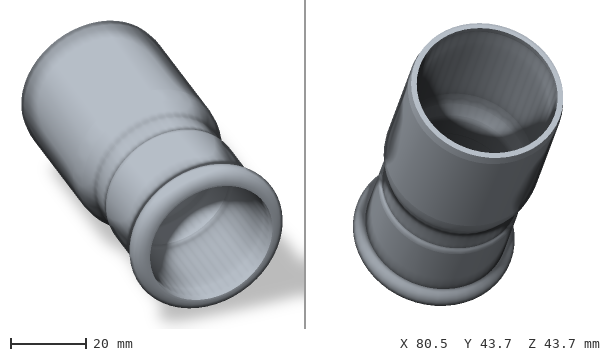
import cadquery as cq
import math

length = 80.5
wall = 1.5

spigot_radius = 42.0 / 2
tip_length = 2.6
tip_drop = 0.4
spigot_end = 36.1

neck_radius = 37.0 / 2
shoulder_angle = math.radians(20)
shoulder_convex_radius = 13.5
shoulder_concave_radius = 4.4

socket_radius = 38.4 / 2
socket_bore_radius = 35.4 / 2
socket_start = 54.6
step_round_radius = 3.4

bead_outer_radius = 43.7 / 2
bead_section_radius = 3.6
bead_center_x = length - bead_section_radius
bead_center_radius = bead_outer_radius - bead_section_radius


def point_on_arc(center, radius, angle):
    """Point at an angle measured from the radial direction toward +X."""
    return (center[0] + radius * math.sin(angle), center[1] + radius * math.cos(angle))


def solid_of_revolution(spigot, neck, socket, end_x, inset):
    """Turn a fitting-shaped profile, its rounds adjusted for an inset from the outer skin."""
    convex_radius = shoulder_convex_radius - inset
    concave_radius = shoulder_concave_radius + inset
    step_radius = step_round_radius - inset

    convex_center = (spigot_end, spigot - convex_radius)
    convex_end = point_on_arc(convex_center, convex_radius, shoulder_angle)
    convex_middle = point_on_arc(convex_center, convex_radius, shoulder_angle / 2)

    concave_drop = concave_radius * (1 - math.cos(shoulder_angle))
    cone_end_radius = neck + concave_drop
    cone_end_x = convex_end[0] + (convex_end[1] - cone_end_radius) / math.tan(shoulder_angle)
    neck_start = cone_end_x + concave_radius * math.sin(shoulder_angle)
    concave_center = (neck_start, neck + concave_radius)
    concave_middle = point_on_arc(concave_center, concave_radius, math.pi + shoulder_angle / 2)

    step_center = (socket_start, socket - step_radius)
    step_angle = math.acos((neck - step_center[1]) / step_radius)
    step_start = point_on_arc(step_center, step_radius, -step_angle)
    step_middle = point_on_arc(step_center, step_radius, -step_angle / 2)

    profile = (
        cq.Workplane("XY")
        .moveTo(0, 0)
        .lineTo(0, spigot - tip_drop)
        .lineTo(tip_length, spigot)
        .lineTo(spigot_end, spigot)
        .threePointArc(convex_middle, convex_end)
        .lineTo(cone_end_x, cone_end_radius)
        .threePointArc(concave_middle, (neck_start, neck))
        .lineTo(*step_start)
        .threePointArc(step_middle, (socket_start, socket))
        .lineTo(end_x, socket)
        .lineTo(end_x, 0)
        .close()
    )
    return profile.revolve(360, (0, 0, 0), (1, 0, 0))


def mouth_bead():
    """Ring of circular section around the socket mouth."""
    return (
        cq.Workplane("XY")
        .moveTo(bead_center_x, bead_center_radius)
        .circle(bead_section_radius)
        .revolve(360, (0, 0, 0), (1, 0, 0))
    )


body = solid_of_revolution(spigot_radius, neck_radius, socket_radius, bead_center_x, 0)
bore = solid_of_revolution(
    spigot_radius - wall, neck_radius - wall, socket_bore_radius, length, wall
)
result = body.union(mouth_bead()).cut(bore)